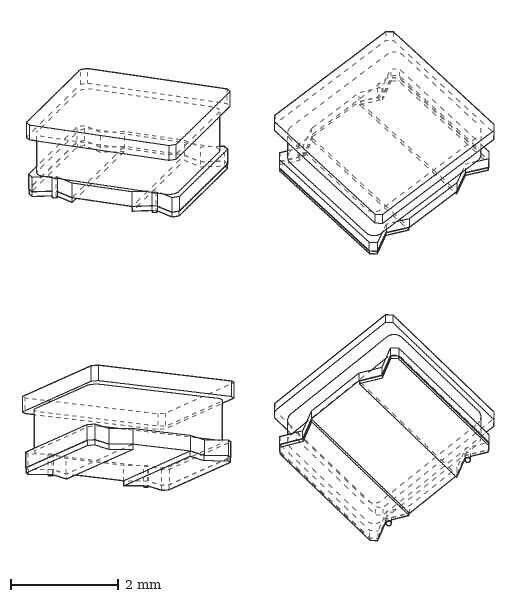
import cadquery as cq
import math

plate_size = 3.0
plate_height = 0.3
corner_cut = 0.1

block_x = 2.82
block_y = 2.505
block_height = 0.803
block_radius = 0.2

terminal_x = plate_size
terminal_y = 2.7
terminal_height = 0.1
terminal_inner_x = 0.6

flange_margin = 0.0105
flange_x = terminal_x + 2 * flange_margin
flange_y = terminal_y + 2 * flange_margin
flange_height = 0.3
flange_corner_cut = corner_cut + flange_margin

notch_outer_x = terminal_x / 2 - corner_cut
notch_half_width = (notch_outer_x - terminal_inner_x) / 2
notch_x = terminal_inner_x + notch_half_width
notch_depth = 0.2

wire_radius = 0.0498
notch_half_angle = math.atan(notch_half_width / notch_depth)
wire_y = -flange_y / 2 + notch_depth - wire_radius / math.sin(notch_half_angle)

flange_bottom = terminal_height
block_bottom = flange_bottom + flange_height
plate_bottom = block_bottom + block_height


def cut_corner_plate(length, width, height, cut, bottom):
    """Rectangular plate with chamfered vertical corners."""
    plate = cq.Workplane("XY", origin=(0, 0, bottom)).rect(length, width).extrude(height)
    return plate.edges("|Z").chamfer(cut)


def cut_notches(plate, width, height, bottom):
    """Cut the four V notches into the front and back edges of a plate."""
    for side_x in (-1, 1):
        for side_y in (-1, 1):
            center_x = side_x * notch_x
            edge_y = side_y * width / 2
            notch = (
                cq.Workplane("XY", origin=(0, 0, bottom))
                .moveTo(center_x - notch_half_width, edge_y)
                .lineTo(center_x, edge_y - side_y * notch_depth)
                .lineTo(center_x + notch_half_width, edge_y)
                .close()
                .extrude(height)
            )
            plate = plate.cut(notch)
    return plate


def make_block():
    """Winding block with rounded vertical corners."""
    block = cq.Workplane("XY", origin=(0, 0, block_bottom)).rect(block_x, block_y).extrude(block_height)
    return block.edges("|Z").fillet(block_radius)


def make_flange():
    """Bottom flange with cut corners and V notches."""
    flange = cut_corner_plate(flange_x, flange_y, flange_height, flange_corner_cut, flange_bottom)
    return cut_notches(flange, flange_y, flange_height, flange_bottom)


def make_terminal(side):
    """Terminal at one X end; its notches continue those of the flange."""
    outline = cut_corner_plate(terminal_x, terminal_y, terminal_height, corner_cut, 0)
    outline = cut_notches(outline, terminal_y, terminal_height, 0)
    length = terminal_x / 2 - terminal_inner_x
    center_x = side * (terminal_inner_x + length / 2)
    end_region = cq.Workplane("XY").center(center_x, 0).rect(length, terminal_y).extrude(terminal_height)
    return outline.intersect(end_region)


def make_wire(side):
    """Vertical wire end from the terminal underside up to the block."""
    return cq.Workplane("XY").center(side * notch_x, wire_y).circle(wire_radius).extrude(block_bottom)


top_plate = cut_corner_plate(plate_size, plate_size, plate_height, corner_cut, plate_bottom)
block = make_block()
flange = make_flange()
terminals = [make_terminal(side) for side in (-1, 1)]
wires = [make_wire(side) for side in (-1, 1)]

result = cq.Compound.makeCompound([
    top_plate.val(),
    block.val(),
    flange.val(),
    *[terminal.val() for terminal in terminals],
    *[wire.val() for wire in wires],
])